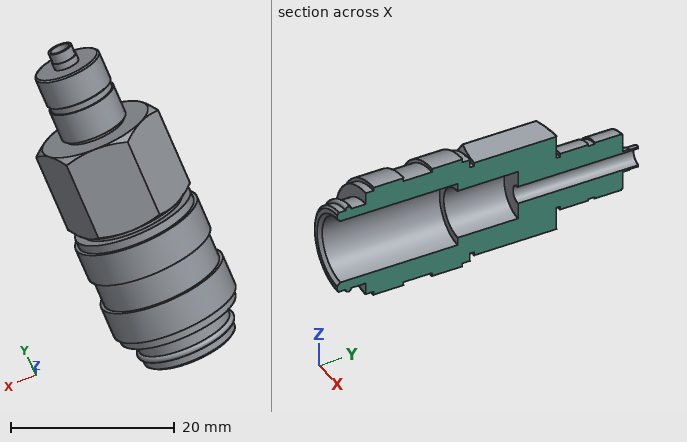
import cadquery as cq
import math

total_length = 42.0

collar_radius = 6.0
collar_end = 4.0
collar_chamfer_width = 0.35
collar_chamfer_length = 0.25
bead_radius = 0.4
bead_center = 1.6

sleeve_radius = 7.65
sleeve_end = 18.55
band_radius = 8.1
band_spans = [(5.1, 9.3), (13.25, 17.47)]

nut_start = 19.1
nut_end = 30.6
nut_across_flats = 14.0
nut_chamfer_length = 0.65
nut_neck_radius = 6.5

rear_neck_radius = 3.8
rear_body_start = 31.1
rear_body_end = 39.8
rear_body_radius = 4.25
rear_chamfer = 0.2
groove_start = 35.03
groove_end = 35.9
groove_radius = 4.05
tail_radius = 1.6
tail_step = 40.7
tip_radius = 1.5

mouth_radius = 5.05
bore_radius = 4.58
mouth_taper_length = 0.45
bore_depth = 16.8
inner_bore_radius = 3.5
inner_bore_depth = 25.2
passage_radius = 1.2


def cylinder(radius, start, end):
    """Solid cylinder on the Y axis between two Y positions."""
    return cq.Workplane("XZ", origin=(0, start, 0)).circle(radius).extrude(start - end)


def revolve_about_y(profile):
    """Full turn of an XY profile about the Y axis."""
    return profile.revolve(360, (0, 0, 0), (0, 1, 0))


def make_collar():
    profile = (
        cq.Workplane("XY")
        .lineTo(collar_radius - collar_chamfer_width, 0)
        .lineTo(collar_radius, collar_chamfer_length)
        .lineTo(collar_radius, bead_center - bead_radius)
        .threePointArc(
            (collar_radius + bead_radius, bead_center),
            (collar_radius, bead_center + bead_radius),
        )
        .lineTo(collar_radius, collar_end)
        .lineTo(0, collar_end)
        .close()
    )
    return revolve_about_y(profile)


def make_sleeve():
    sleeve = cylinder(sleeve_radius, collar_end, sleeve_end)
    for start, end in band_spans:
        sleeve = sleeve.union(cylinder(band_radius, start, end))
    return sleeve


def make_nut():
    """Hexagon whose corners are turned to a cone at both ends."""
    flat_radius = nut_across_flats / 2
    corner_radius = flat_radius / math.cos(math.pi / 6)
    hexagon = (
        cq.Workplane("XZ", origin=(0, nut_start, 0))
        .polygon(6, 2 * corner_radius)
        .extrude(nut_start - nut_end)
    )
    turned_profile = (
        cq.Workplane("XY")
        .moveTo(0, nut_start)
        .lineTo(flat_radius, nut_start)
        .lineTo(corner_radius, nut_start + nut_chamfer_length)
        .lineTo(corner_radius, nut_end - nut_chamfer_length)
        .lineTo(flat_radius, nut_end)
        .lineTo(0, nut_end)
        .close()
    )
    return hexagon.intersect(revolve_about_y(turned_profile))


def make_rear_body():
    body = cylinder(rear_body_radius, rear_body_start, rear_body_end)
    body = body.faces(">Y").chamfer(rear_chamfer)
    groove = cylinder(rear_body_radius, groove_start, groove_end).cut(
        cylinder(groove_radius, groove_start, groove_end)
    )
    return body.cut(groove)


def make_bores():
    profile = (
        cq.Workplane("XY")
        .lineTo(mouth_radius, 0)
        .lineTo(bore_radius, mouth_taper_length)
        .lineTo(bore_radius, bore_depth)
        .lineTo(inner_bore_radius, bore_depth)
        .lineTo(inner_bore_radius, inner_bore_depth)
        .lineTo(passage_radius, inner_bore_depth)
        .lineTo(passage_radius, total_length)
        .lineTo(0, total_length)
        .close()
    )
    return revolve_about_y(profile)


result = (
    make_collar()
    .union(make_sleeve())
    .union(cylinder(nut_neck_radius, sleeve_end, nut_start))
    .union(make_nut())
    .union(cylinder(rear_neck_radius, nut_end, rear_body_start))
    .union(make_rear_body())
    .union(cylinder(tail_radius, rear_body_end, tail_step))
    .union(cylinder(tip_radius, tail_step, total_length))
    .cut(make_bores())
)